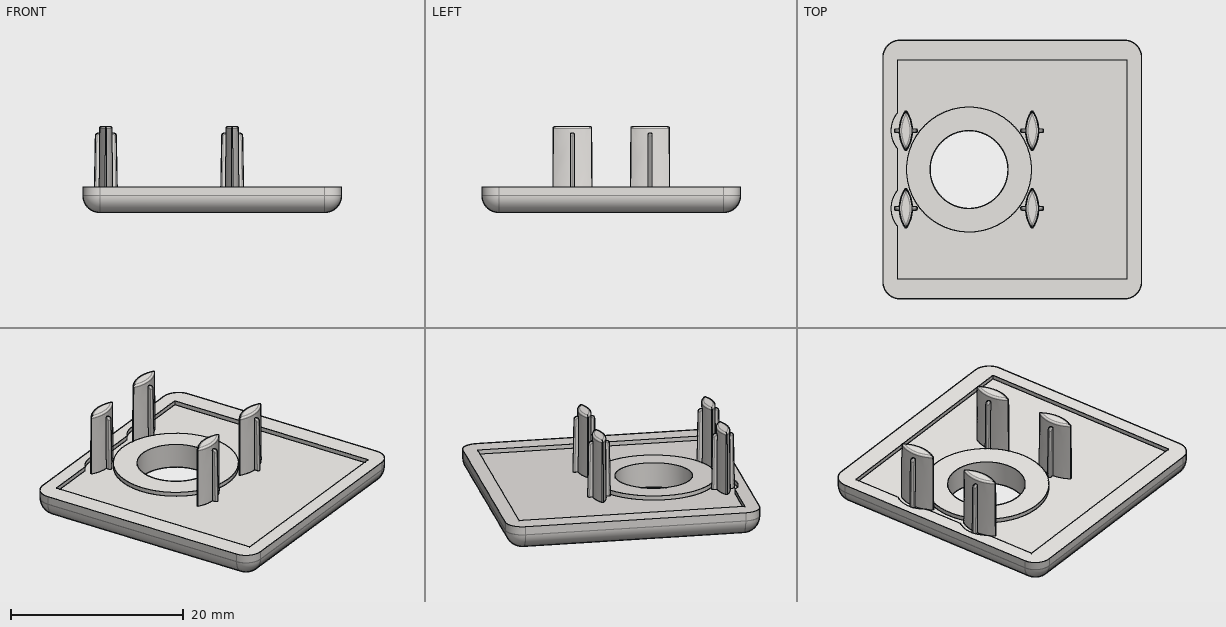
import cadquery as cq

plate_side = 30.0
plate_thickness = 3.0
edge_radius = 2.0

pocket_length = 26.65
pocket_width = 25.38
pocket_depth = 0.5
floor_z = plate_thickness - pocket_depth

hole_x = -5.0
hole_diameter = 9.0
ring_diameter = 14.5

pin_spacing_x = 14.65
pin_spacing_y = 9.0
pin_top_z = 10.0
lens_length = 4.8
pin_length = 4.55
pin_width = 1.55
pin_draft = 0.4
pin_top_radius = 0.25
pin_height = pin_top_z - floor_z

rib_length = 2.67
rib_top_length = 2.43
rib_thickness = 0.45
rib_drop = 0.75
rib_corner_radius = 0.35
rib_edge_radius = 0.18
rib_height = pin_height - rib_drop

relief_radius = 3.3
relief_reach = 1.7

pin_columns = [hole_x - pin_spacing_x / 2, hole_x + pin_spacing_x / 2]
pin_rows = [-pin_spacing_y / 2, pin_spacing_y / 2]


def make_plate():
    """Square plate with rounded corners and a rounded lower edge."""
    plate = cq.Workplane("XY").box(
        plate_side, plate_side, plate_thickness, centered=(True, True, False)
    )
    return plate.edges("|Z").fillet(edge_radius).faces("<Z").edges().fillet(edge_radius)


def make_pocket():
    """Volume removed for the pocket, including the reliefs beside the outer pins."""
    floor = cq.Workplane("XY", origin=(0, 0, floor_z))
    pocket = floor.rect(pocket_length, pocket_width).extrude(pocket_depth)
    relief_x = pin_columns[0] - relief_reach + relief_radius
    reliefs = (
        floor.pushPoints([(relief_x, y) for y in pin_rows])
        .circle(relief_radius)
        .extrude(pocket_depth)
    )
    return pocket.union(reliefs)


def make_ring():
    """Disc around the hole; the hole itself is cut later."""
    return (
        cq.Workplane("XY", origin=(hole_x, 0, floor_z))
        .circle(ring_diameter / 2)
        .extrude(pocket_depth)
    )


def make_hole():
    return cq.Workplane("XY").center(hole_x, 0).circle(hole_diameter / 2).extrude(plate_thickness)


def make_rib():
    """Thin rib of constant thickness whose rounded ends lean inward, standing on the origin."""
    half_base = rib_length / 2
    half_top = rib_top_length / 2
    rib = (
        cq.Workplane("XZ")
        .polyline([(-half_base, 0), (half_base, 0), (half_top, rib_height), (-half_top, rib_height)])
        .close()
        .extrude(rib_thickness / 2, both=True)
    )
    rib = rib.faces(">Z").edges("|Y").fillet(rib_corner_radius)
    return rib.faces("<Y or >Y").edges("not <Z").fillet(rib_edge_radius)


def make_pin():
    """Tapered lens-shaped post with trimmed tips and a cross rib, standing on the origin."""
    half_lens = lens_length / 2
    half_width = pin_width / 2
    lens = (
        cq.Workplane("XY")
        .moveTo(0, -half_lens)
        .threePointArc((half_width, 0), (0, half_lens))
        .threePointArc((-half_width, 0), (0, -half_lens))
        .close()
        .extrude(pin_height, taper=pin_draft)
    )
    lens = lens.faces(">Z").edges().fillet(pin_top_radius)
    tip_trim = (
        cq.Workplane("XY")
        .rect(2 * pin_width, pin_length)
        .extrude(pin_height, taper=pin_draft)
    )
    lens = lens.intersect(tip_trim)
    return lens.union(make_rib())


result = make_plate().cut(make_pocket()).union(make_ring())

pin = make_pin()
for x in pin_columns:
    for y in pin_rows:
        result = result.union(pin.translate((x, y, floor_z)))

result = result.cut(make_hole())